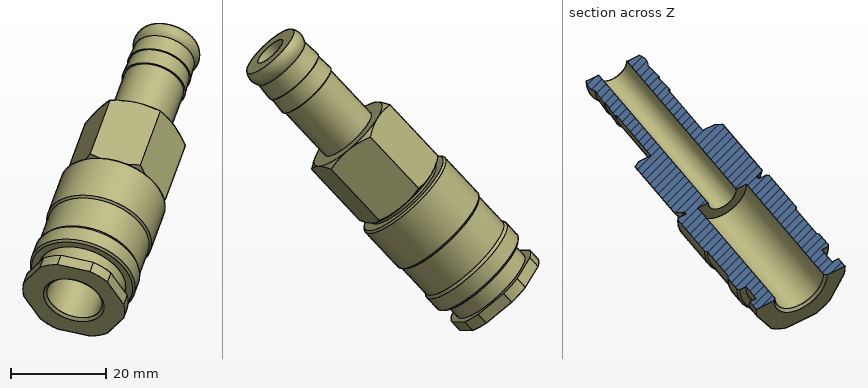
import cadquery as cq
import math

total_length = 73.0

flange_radius = 11.2
flange_thickness = 2.6
flange_across_flats = 21.2
neck_radius = 9.55
ring_start = 6.5
sleeve_diameter = 23.0
sleeve_radius = sleeve_diameter / 2
grip_radius = 11.1
grip_start = 11.1
grip_end = 19.05
sleeve_end = 30.45
edge_chamfer = 0.45
ring_back_chamfer_length = 0.65
collar_radius = 9.1

hex_start = 31.1
hex_end = 48.2
hex_across_flats = 19.05
hex_chamfer_angle = 30.0

tail_radius = 6.6
barb_radius = 6.9
barb_root_radius = 6.65
barb_starts = (61.5, 65.5)
bead_start = 69.5
bead_middle = 71.3
bead_diameter = 14.4
bead_radius = bead_diameter / 2

through_radius = 3.5
socket_radius = 6.05
socket_mouth_radius = 6.65
socket_depth = sleeve_end


def revolve_profile(profile):
    """Revolve a closed half profile of (radius, Y) about the Y axis."""
    return profile.close().revolve(360, (0, 0, 0), (0, 1, 0))


def hexagon(across_flats, start, end):
    """Hexagonal bar along Y with two flats facing up and down."""
    across_corners = across_flats / math.cos(math.pi / 6)
    plane = cq.Workplane("XZ", origin=(0, start, 0))
    return plane.polygon(6, across_corners).extrude(start - end)


def make_flange():
    """Round front flange with six flats."""
    disc = cq.Workplane("XZ").circle(flange_radius).extrude(-flange_thickness)
    return disc.intersect(hexagon(flange_across_flats, 0, flange_thickness))


def make_sleeve():
    """Neck, locking ring, recessed grip, sleeve and the collar behind it."""
    chamfered_radius = sleeve_radius - edge_chamfer
    return revolve_profile(
        cq.Workplane("XY")
        .moveTo(0, flange_thickness)
        .lineTo(neck_radius, flange_thickness)
        .lineTo(neck_radius, ring_start)
        .lineTo(chamfered_radius, ring_start)
        .lineTo(sleeve_radius, ring_start + edge_chamfer)
        .lineTo(sleeve_radius, grip_start - ring_back_chamfer_length)
        .lineTo(grip_radius, grip_start)
        .lineTo(grip_radius, grip_end)
        .lineTo(sleeve_radius, grip_end + edge_chamfer)
        .lineTo(sleeve_radius, sleeve_end - edge_chamfer)
        .lineTo(chamfered_radius, sleeve_end)
        .lineTo(collar_radius, sleeve_end)
        .lineTo(collar_radius, hex_start)
        .lineTo(0, hex_start)
    )


def make_hex_nut():
    """Hexagon with its corners turned off conically at both ends."""
    face_radius = hex_across_flats / 2
    corner_radius = face_radius / math.cos(math.pi / 6)
    chamfer_length = (corner_radius - face_radius) * math.tan(math.radians(hex_chamfer_angle))
    turned_blank = revolve_profile(
        cq.Workplane("XY")
        .moveTo(0, hex_start)
        .lineTo(face_radius, hex_start)
        .lineTo(corner_radius, hex_start + chamfer_length)
        .lineTo(corner_radius, hex_end - chamfer_length)
        .lineTo(face_radius, hex_end)
        .lineTo(0, hex_end)
    )
    return hexagon(hex_across_flats, hex_start, hex_end).intersect(turned_blank)


def make_hose_tail():
    """Tail with tapered barbs and a rounded bead at its end."""
    profile = cq.Workplane("XY").moveTo(0, hex_end).lineTo(tail_radius, hex_end)
    profile = profile.lineTo(tail_radius, barb_starts[0])
    barb_ends = barb_starts[1:] + (bead_start,)
    for start, end in zip(barb_starts, barb_ends):
        profile = profile.lineTo(barb_radius, start).lineTo(barb_root_radius, end)
    profile = profile.threePointArc((bead_radius, bead_middle), (barb_root_radius, total_length))
    return revolve_profile(profile.lineTo(0, total_length))


def make_bore():
    """Through bore with a wider, countersunk socket at the front."""
    mouth_depth = socket_mouth_radius - socket_radius
    return revolve_profile(
        cq.Workplane("XY")
        .lineTo(socket_mouth_radius, 0)
        .lineTo(socket_radius, mouth_depth)
        .lineTo(socket_radius, socket_depth)
        .lineTo(through_radius, socket_depth)
        .lineTo(through_radius, total_length)
        .lineTo(0, total_length)
    )


body = make_flange().union(make_sleeve()).union(make_hex_nut()).union(make_hose_tail())
result = body.cut(make_bore())